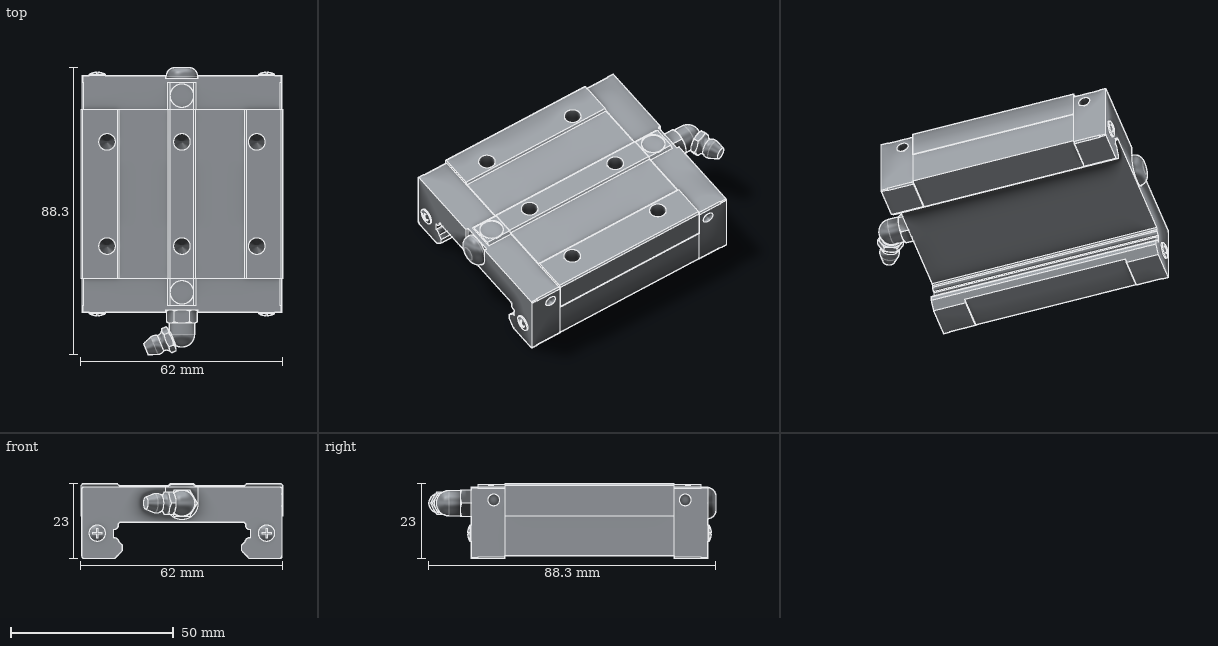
import cadquery as cq
import math


BLOCK_WIDTH = 62.0
BLOCK_LENGTH = 52.0
BLOCK_TOP = 23.0
BLOCK_BOTTOM = 0.8
BLOCK_EDGE_CHAMFER = 0.5
FLANK_STEP_HEIGHT = 13.1
FLANK_STEP = 0.2
TOP_GROOVE_DEPTH = 0.6
SIDE_PAD_INNER = 19.85
CENTRE_PAD_HALF = 3.6

HOLE_SPACING_X = 23.0
HOLE_SPACING_Y = 32.0
HOLE_DIAMETER = 5.1
HOLE_DEPTH = 8.0
DRILL_POINT_ANGLE = 118.0

CAP_WIDTH = 61.4
CAP_TOP = 22.0
CAP_BODY_LENGTH = 8.3
CAP_BODY_CHAMFER = 0.5
COVER_THICKNESS = 2.05
COVER_CHAMFER = 0.3
CAP_RIDGE_TOP = 22.8
CAP_RIDGE_HALF = 3.6
OIL_SEAT_DIAMETER = 7.2
OIL_SEAT_DEPTH = 0.4
OIL_SEAT_Y = 30.2
SIDE_PORT_DIAMETER = 3.6
SIDE_PORT_DEPTH = 3.0
SIDE_PORT_Y = 29.4
SIDE_PORT_Z = 18.0

COVER_START = BLOCK_LENGTH / 2 + CAP_BODY_LENGTH
END_FACE = COVER_START + COVER_THICKNESS

PORT_Z = 17.0
PORT_POCKET_RADIUS = 5.0
PORT_POCKET_DEPTH = 0.8
PORT_FLOOR = END_FACE - PORT_POCKET_DEPTH

SCREW_X = 26.0
SCREW_Z = 7.8
SCREW_RADIUS = 2.5
SCREW_RIM = 0.4
SCREW_HEIGHT = 1.1
CROSS_LENGTH = 2.9
CROSS_WIDTH = 0.45
CROSS_DEPTH = 0.7

PLUG_RADIUS = 4.85
PLUG_RIM = 0.6
PLUG_ROUNDING = 2.75
PLUG_HEIGHT = PLUG_RIM + PLUG_ROUNDING

NUT_FLATS = 8.2
NUT_HEIGHT = 4.1
NUT_CHAMFER_ANGLE = 30.0
ELBOW_RADIUS = 3.95
ELBOW_CENTRE_Y = -43.1
NIPPLE_ANGLE = 22.5
COLLAR_FLATS = 7.0
COLLAR_START = 3.35
COLLAR_HEIGHT = 2.0
COLLAR_CHAMFER_ANGLE = 30.0
NECK_END = 7.1
HEAD_PEAK = 8.4
HEAD_CONE_START = 9.15
NIPPLE_TIP = 12.0
NECK_BASE_RADIUS = COLLAR_FLATS / 2
NECK_WAIST = 6.0
NECK_WAIST_RADIUS = 2.8
NECK_RADIUS = 2.6
HEAD_PEAK_RADIUS = 3.05
HEAD_CONE_RADIUS = 2.95
TIP_RADIUS = 1.85

CHANNEL_MOUTH = 20.6
CHANNEL_NOSE = 18.3
CHANNEL_LEDGE = 20.5
CHANNEL_RELIEF = 21.0
CHANNEL_THROAT = 19.55
CHANNEL_ROOF_HALF = 19.1
NOSE_LOW_Z = 2.4
NOSE_HIGH_Z = 4.15
SHOULDER_X = 19.35
SHOULDER_Z = NOSE_HIGH_Z + SHOULDER_X - CHANNEL_NOSE
SHOULDER_RADIUS = 1.5
RELIEF_LOW_Z = 6.4
RELIEF_HIGH_Z = 8.9
THROAT_Z = 9.9
ROOF_Z = 11.1


def along_y(profile, start, end):
    """Extrude a closed front profile from y = start to y = end."""
    return profile.extrude(start - end).translate((0, start, 0))


def box_between(half_width, start, end, bottom, top):
    size = (2 * half_width, end - start, top - bottom)
    return cq.Workplane("XY").box(*size).translate((0, (start + end) / 2, (bottom + top) / 2))


def pad(inner_low, outer_low, inner_high, outer_high, bottom, top, start, end):
    """Trapezoidal strip along Y, given by its X limits at two heights."""
    corners = [(inner_low, bottom), (outer_low, bottom), (outer_high, top), (inner_high, top)]
    return along_y(cq.Workplane("XZ").polyline(corners).close(), start, end)


def mirrored(shape):
    return shape.union(shape.mirror("YZ"))


def block():
    half_width = BLOCK_WIDTH / 2
    half_length = BLOCK_LENGTH / 2
    groove_z = BLOCK_TOP - TOP_GROOVE_DEPTH
    body = box_between(half_width, -half_length, half_length, FLANK_STEP_HEIGHT, BLOCK_TOP)
    body = body.edges("|Y and >Z").chamfer(BLOCK_EDGE_CHAMFER)
    lower = box_between(
        half_width - FLANK_STEP, -half_length, half_length, BLOCK_BOTTOM, FLANK_STEP_HEIGHT
    )
    groove = pad(
        CENTRE_PAD_HALF + TOP_GROOVE_DEPTH, SIDE_PAD_INNER - TOP_GROOVE_DEPTH,
        CENTRE_PAD_HALF, SIDE_PAD_INNER,
        groove_z, BLOCK_TOP, -half_length, half_length,
    )
    return body.union(lower).cut(mirrored(groove))


def end_cap():
    """End cap at the +Y end, without its screws and port fittings."""
    half_width = CAP_WIDTH / 2
    start = BLOCK_LENGTH / 2
    body = box_between(half_width, start, COVER_START, 0, CAP_TOP)
    body = body.edges("|Y").chamfer(CAP_BODY_CHAMFER)
    cover = box_between(half_width, COVER_START, END_FACE, 0, CAP_TOP)
    cover = cover.edges("|Y").chamfer(COVER_CHAMFER)

    ridge_foot = CAP_RIDGE_HALF + CAP_RIDGE_TOP - CAP_TOP
    ridge = pad(
        -ridge_foot, ridge_foot, -CAP_RIDGE_HALF, CAP_RIDGE_HALF,
        CAP_TOP, CAP_RIDGE_TOP, start, COVER_START,
    )
    oil_seat = (
        cq.Workplane("XY", origin=(0, OIL_SEAT_Y, CAP_RIDGE_TOP - OIL_SEAT_DEPTH))
        .circle(OIL_SEAT_DIAMETER / 2)
        .extrude(OIL_SEAT_DEPTH)
    )
    side_port = (
        cq.Workplane("YZ", origin=(-half_width, SIDE_PORT_Y, SIDE_PORT_Z))
        .circle(SIDE_PORT_DIAMETER / 2)
        .extrude(SIDE_PORT_DEPTH)
    )
    pocket_outline = (
        cq.Workplane("XZ")
        .moveTo(PORT_POCKET_RADIUS, CAP_TOP)
        .lineTo(PORT_POCKET_RADIUS, PORT_Z)
        .threePointArc((0, PORT_Z - PORT_POCKET_RADIUS), (-PORT_POCKET_RADIUS, PORT_Z))
        .lineTo(-PORT_POCKET_RADIUS, CAP_TOP)
        .close()
    )
    pocket = along_y(pocket_outline, PORT_FLOOR, END_FACE)
    cap = body.union(cover).union(ridge)
    return cap.cut(oil_seat).cut(mirrored(side_port)).cut(pocket)


def rail_channel():
    """Space for the rail, running through the whole carriage."""
    half = (
        cq.Workplane("XZ")
        .lineTo(CHANNEL_MOUTH, 0)
        .lineTo(CHANNEL_NOSE, NOSE_LOW_Z)
        .lineTo(CHANNEL_NOSE, NOSE_HIGH_Z)
        .lineTo(SHOULDER_X, SHOULDER_Z)
        .radiusArc((CHANNEL_LEDGE, RELIEF_LOW_Z), SHOULDER_RADIUS)
        .lineTo(CHANNEL_RELIEF, RELIEF_LOW_Z)
        .lineTo(CHANNEL_RELIEF, RELIEF_HIGH_Z)
        .lineTo(CHANNEL_LEDGE, RELIEF_HIGH_Z)
        .radiusArc((CHANNEL_THROAT, THROAT_Z), SHOULDER_RADIUS)
        .lineTo(CHANNEL_THROAT, ROOF_Z - CHANNEL_THROAT + CHANNEL_ROOF_HALF)
        .lineTo(CHANNEL_ROOF_HALF, ROOF_Z)
        .lineTo(0, ROOF_Z)
        .close()
    )
    return mirrored(along_y(half, -END_FACE, END_FACE))


def mounting_holes():
    radius = HOLE_DIAMETER / 2
    point_depth = radius / math.tan(math.radians(DRILL_POINT_ANGLE / 2))
    drill = (
        cq.Workplane("XZ")
        .lineTo(radius, 0)
        .lineTo(radius, -HOLE_DEPTH)
        .lineTo(0, -HOLE_DEPTH - point_depth)
        .close()
        .revolve(360, (0, 0), (0, 1))
    )
    holes = cq.Workplane("XY")
    for column in (-1, 0, 1):
        for row in (-0.5, 0.5):
            place = (column * HOLE_SPACING_X, row * HOLE_SPACING_Y, BLOCK_TOP)
            holes = holes.add(drill.translate(place))
    return holes.combine()


def cover_screw():
    """Domed head with a cross recess, seated on the +Y end face at X = Z = 0."""
    dome_rise = SCREW_HEIGHT - SCREW_RIM
    dome_radius = (SCREW_RADIUS ** 2 + dome_rise ** 2) / (2 * dome_rise)
    half_chord = SCREW_RADIUS / 2
    arc_height = SCREW_HEIGHT - dome_radius + math.sqrt(dome_radius ** 2 - half_chord ** 2)
    head = (
        cq.Workplane("XY")
        .lineTo(SCREW_RADIUS, 0)
        .lineTo(SCREW_RADIUS, SCREW_RIM)
        .threePointArc((half_chord, arc_height), (0, SCREW_HEIGHT))
        .close()
        .revolve(360, (0, 0), (0, 1))
    )
    recess_y = SCREW_HEIGHT - CROSS_DEPTH / 2
    slot = cq.Workplane("XY").box(CROSS_LENGTH, CROSS_DEPTH, CROSS_WIDTH)
    cross = slot.union(slot.rotate((0, 0, 0), (0, 1, 0), 90)).translate((0, recess_y, 0))
    return head.cut(cross).translate((0, END_FACE, 0))


def closing_plug():
    flat = PLUG_RADIUS - PLUG_ROUNDING
    bow = PLUG_ROUNDING * math.sqrt(0.5)
    return (
        cq.Workplane("XY")
        .lineTo(PLUG_RADIUS, 0)
        .lineTo(PLUG_RADIUS, PLUG_RIM)
        .threePointArc((flat + bow, PLUG_RIM + bow), (flat, PLUG_HEIGHT))
        .lineTo(0, PLUG_HEIGHT)
        .close()
        .revolve(360, (0, 0), (0, 1))
        .translate((0, PORT_FLOOR, PORT_Z))
    )


def hexagon(flats, height, chamfer_angle):
    """Hexagonal prism along +Z with two corners on X, all corners turned off at both end faces."""
    corner = flats / 2 / math.cos(math.pi / 6)
    drop = (corner - flats / 2) * math.tan(math.radians(chamfer_angle))
    turned = (
        cq.Workplane("XZ")
        .polyline([
            (0, 0), (flats / 2, 0), (corner, drop),
            (corner, height - drop), (flats / 2, height), (0, height),
        ])
        .close()
        .revolve(360, (0, 0), (0, 1))
    )
    return cq.Workplane("XY").polygon(6, 2 * corner).extrude(height).intersect(turned)


def nipple_head():
    """Collar, neck and tapered head along +Z, starting at the elbow centre."""
    collar_end = COLLAR_START + COLLAR_HEIGHT
    collar = hexagon(COLLAR_FLATS, COLLAR_HEIGHT, COLLAR_CHAMFER_ANGLE)
    stem = (
        cq.Workplane("XZ")
        .lineTo(NECK_RADIUS, 0)
        .lineTo(NECK_RADIUS, collar_end)
        .lineTo(NECK_BASE_RADIUS, collar_end)
        .threePointArc((NECK_WAIST_RADIUS, NECK_WAIST), (NECK_RADIUS, NECK_END))
        .threePointArc((HEAD_PEAK_RADIUS, HEAD_PEAK), (HEAD_CONE_RADIUS, HEAD_CONE_START))
        .lineTo(TIP_RADIUS, NIPPLE_TIP)
        .lineTo(0, NIPPLE_TIP)
        .close()
        .revolve(360, (0, 0), (0, 1))
    )
    return stem.union(collar.translate((0, 0, COLLAR_START)))


def grease_nipple():
    origin = (0, 0, 0)
    nut = hexagon(NUT_FLATS, NUT_HEIGHT, NUT_CHAMFER_ANGLE)
    nut = nut.rotate(origin, (1, 0, 0), 90).translate((0, -PORT_FLOOR, PORT_Z))
    elbow = cq.Workplane("XZ", origin=(0, -PORT_FLOOR, PORT_Z)).circle(ELBOW_RADIUS)
    elbow = elbow.extrude(-PORT_FLOOR - ELBOW_CENTRE_Y)
    elbow_centre = (0, ELBOW_CENTRE_Y, PORT_Z)
    ball = cq.Workplane("XY").sphere(ELBOW_RADIUS).translate(elbow_centre)
    head = nipple_head().rotate(origin, (1, 0, 0), 90).rotate(origin, (0, 0, 1), NIPPLE_ANGLE - 90)
    return nut.union(elbow).union(ball).union(head.translate(elbow_centre))


def carriage():
    cap = end_cap()
    body = block().union(cap).union(cap.mirror("XZ"))
    body = body.cut(rail_channel()).cut(mounting_holes())
    for side in (-1, 1):
        screw = cover_screw().translate((side * SCREW_X, 0, SCREW_Z))
        body = body.union(screw).union(screw.mirror("XZ"))
    return body.union(closing_plug()).union(grease_nipple())


result = carriage()